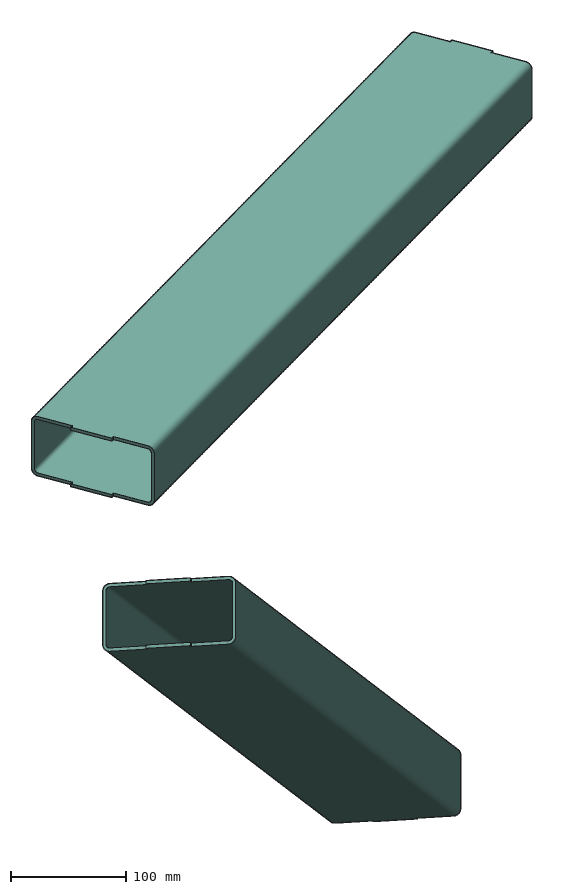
import cadquery as cq

width = 120.0
length = 726.0
height = 60.0

wall = 3.0
corner_radius = 6.5

tab_width = 40.0
tab_reach = 3.0

body_length = length - 2 * tab_reach


def rounded_bar(bar_width, bar_height, radius):
    """Bar along Y with its four long edges rounded."""
    return cq.Workplane("XY").box(bar_width, length, bar_height).edges("|Y").fillet(radius)


def end_cutter(side, x_sign):
    """Block that trims one end of the tube beside the tab."""
    cut_width = (width - tab_width) / 2
    x_centre = x_sign * (tab_width + cut_width) / 2
    y_centre = side * (body_length + tab_reach) / 2
    return cq.Workplane("XY").box(cut_width, tab_reach, height).translate((x_centre, y_centre, 0))


outside = rounded_bar(width, height, corner_radius)
inside = rounded_bar(width - 2 * wall, height - 2 * wall, corner_radius - wall)
result = outside.cut(inside)

for side in (-1, 1):
    for x_sign in (-1, 1):
        result = result.cut(end_cutter(side, x_sign))